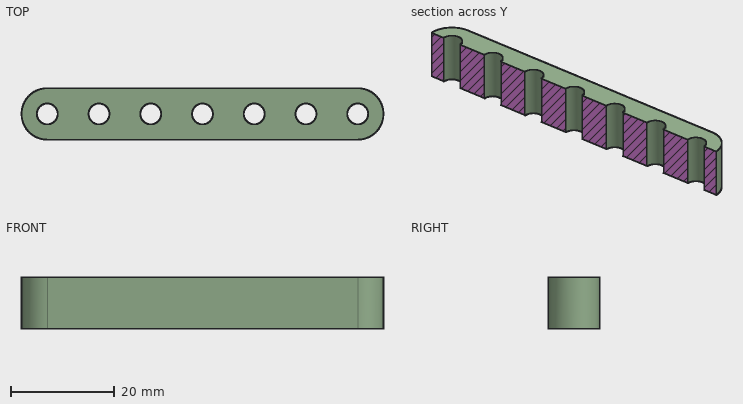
import cadquery as cq

length = 70.0
hole_count = 7
hole_diameter = 4.0

pitch = length / hole_count
width = pitch
height = pitch

bar = cq.Workplane("XY").slot2D(length, width).extrude(height / 2, both=True)

result = (
    bar.faces(">Z")
    .workplane(origin=(0, 0, 0))
    .rarray(pitch, 0.7, hole_count, 1)
    .hole(hole_diameter)
)